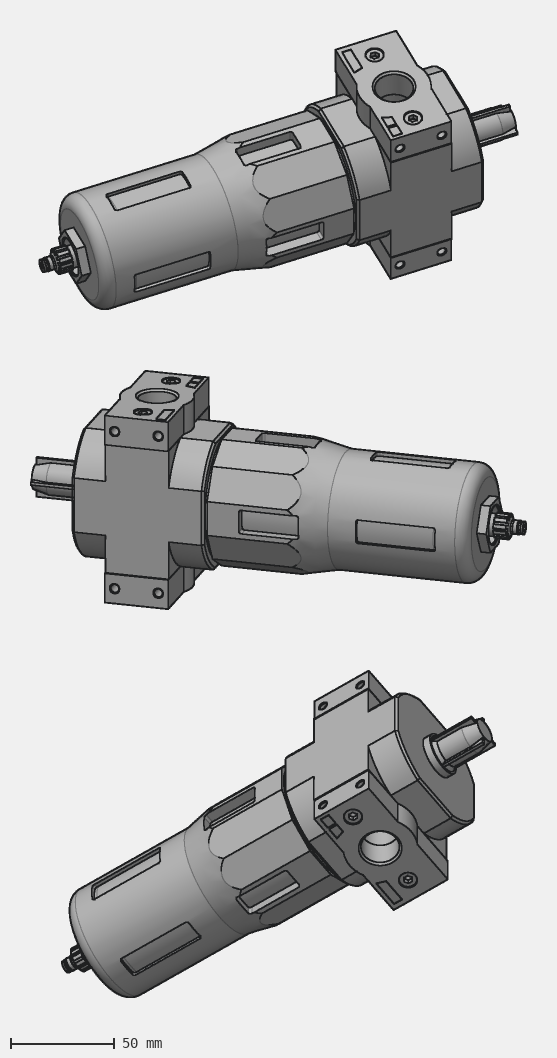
import cadquery as cq
import math


housing_width = 66.0
housing_corner_radius = 35.8
housing_top = 33.0
housing_bottom = -33.7
housing_edge_chamfer = 1.2
port_block_length = 32.0
port_diameter = 18.63

plate_left = -34.1
plate_right = 32.5
plate_thickness = 15.0
plate_length = port_block_length
port_boss_diameter = 36.0
port_chamfer = 1.1
feature_center_x = -0.3
side_hole_diameter = 4.13
side_hole_mouth_diameter = 5.0
side_hole_depth = 9.0
side_hole_y = 11.0
side_hole_from_face = 7.7
drill_half_angle = math.radians(59)

label_depth = 0.3
label_width = 4.7
label_center_y = -11.4
label_slant = 1.6
left_label_start = -31.3
left_label_end = -16.3
right_label_start = 16.7
right_label_end = 30.4
label_divider_x = 23.9
label_divider_width = 1.0

screw_spacing = 46.2
screw_head_diameter = 8.5
screw_head_height = 5.0
screw_head_recess = 0.5
screw_socket_flats = 4.0
screw_socket_depth = 2.5
screw_shank_diameter = 5.0
screw_engagement = 8.0
counterbore_diameter = 9.0

neck_diameter = 62.0
grip_start = -35.2
grip_flats = 64.8
grip_sides = 12
taper_start = -75.7
taper_end = -95.0
barrel_diameter = 58.9
bowl_end = -165.6
bowl_end_fillet = 6.4

window_width = 12.0
window_corner_radius = 1.2
window_floor_radius = 27.5
window_floor_end = -147.7
window_floor_fillet = 8.0
grip_window_start = -51.2
grip_window_length = 30.0
barrel_window_start = -109.3
barrel_window_length = 40.0

hex_flats = 24.0
hex_height = 4.8
hex_recess_diameter = 18.63
hex_recess_chamfer = 0.6

drain_neck_diameter = 11.2
knurl_diameter = 12.8
knurl_start = -171.5
knurl_cone_start = -178.0
knurl_end = -179.4
knurl_flutes = 12
flute_width = 1.3
flute_depth = 1.4
drain_shoulder_diameter = 7.0
drain_shoulder_end = -180.4
drain_stem_diameter = 6.8
drain_lip_diameter = 7.0
drain_groove_diameter = 5.6
drain_tip_diameter = 6.4
lip_start = -182.6
groove_start = -183.1
groove_end = -184.2
drain_end = -185.4
drain_bore_diameter = 3.0
drain_bore_depth = 5.0

collar_diameter = 22.0
collar_top = 37.0
knob_root_diameter = 19.6
knob_body_diameter = 16.4
knob_root_end = 39.2
knob_taper_start = 53.7
knob_tip_diameter = 12.4
knob_top = 61.6
fin_span = 20.0
fin_thickness = 1.5
fin_top = 60.8
fin_count = 4

plate_face_z = housing_width / 2 + plate_thickness
screw_seat_z = plate_face_z - screw_head_recess - screw_head_height
screw_tip_z = housing_width / 2 - screw_engagement
screw_xs = [feature_center_x + side * screw_spacing / 2 for side in (-1, 1)]
grip_corner_diameter = grip_flats / math.cos(math.pi / grip_sides)


def plane_at_y(y):
    """Workplane normal to Y, with local x along X and local y along Z, extruding toward -Y."""
    return cq.Workplane(cq.Plane(origin=(0, y, 0), xDir=(1, 0, 0), normal=(0, -1, 0)))


def plane_at_z(z):
    return cq.Workplane("XY", origin=(0, 0, z))


def revolve_about_y(profile):
    return profile.close().revolve(360, (0, 0, 0), (0, 1, 0))


def stacked_profile(steps):
    """Half profile on the bowl axis from (radius, y) corner points."""
    axis_points = [(0, steps[0][1])] + steps + [(0, steps[-1][1])]
    return cq.Workplane("XY").polyline(axis_points)


def mirrored_pair(body):
    return [body, body.mirror("XY")]


def make_housing():
    length = housing_top - housing_bottom
    barrel = plane_at_y(housing_top).rect(housing_width, housing_width).extrude(length)
    barrel = barrel.intersect(plane_at_y(housing_top).circle(housing_corner_radius).extrude(length))
    barrel = barrel.faces("<Y or >Y").chamfer(housing_edge_chamfer)
    block = cq.Workplane("XY").box(housing_width, port_block_length, housing_width)
    body = barrel.union(block)
    port = plane_at_z(-housing_width / 2).circle(port_diameter / 2).extrude(housing_width)
    body = body.cut(port)
    upper_holes = plane_at_z(screw_tip_z).pushPoints([(x, 0) for x in screw_xs])
    upper_holes = upper_holes.circle(screw_shank_diameter / 2).extrude(screw_engagement)
    for holes in mirrored_pair(upper_holes):
        body = body.cut(holes)
    return body


def side_hole(y):
    """Drilled hole along +X from the plate's left face, with a wider mouth and a conical end."""
    mouth = side_hole_mouth_diameter / 2
    radius = side_hole_diameter / 2
    tip_depth = side_hole_depth + radius / math.tan(drill_half_angle)
    profile = cq.Workplane("XY").polyline([
        (0, 0), (0, mouth), (mouth - radius, radius), (side_hole_depth, radius), (tip_depth, 0)])
    hole = profile.close().revolve(360, (0, 0, 0), (1, 0, 0))
    return hole.translate((plate_left, y, plate_face_z - side_hole_from_face))


def label_fields():
    low = label_center_y - label_width / 2
    high = label_center_y + label_width / 2
    base = plane_at_z(plate_face_z - label_depth)
    left = base.polyline([
        (left_label_start, low), (left_label_end, low),
        (left_label_end - label_slant, high), (left_label_start, high)]).close().extrude(label_depth)
    right = base.polyline([
        (right_label_start, low), (right_label_end, low),
        (right_label_end, high), (right_label_start + label_slant, high)]).close().extrude(label_depth)
    divider = base.center(label_divider_x, label_center_y)
    divider = divider.rect(label_divider_width, label_width).extrude(label_depth)
    return left.union(right.cut(divider))


def make_upper_plate():
    base_z = housing_width / 2
    plate_center_x = (plate_left + plate_right) / 2
    plate = plane_at_z(base_z).center(plate_center_x, 0)
    plate = plate.rect(plate_right - plate_left, plate_length).extrude(plate_thickness)
    boss = plane_at_z(base_z).center(feature_center_x, 0)
    boss = boss.circle(port_boss_diameter / 2).extrude(plate_thickness)
    plate = plate.union(boss)
    plate = plate.cut(plane_at_z(base_z).circle(port_diameter / 2).extrude(plate_thickness))
    mouth = cq.Solid.makeCone(port_diameter / 2, port_diameter / 2 + port_chamfer, port_chamfer,
                              pnt=cq.Vector(0, 0, plate_face_z - port_chamfer))
    plate = plate.cut(cq.Workplane(mouth))
    screw_points = [(x, 0) for x in screw_xs]
    shank_holes = plane_at_z(base_z).pushPoints(screw_points)
    plate = plate.cut(shank_holes.circle(screw_shank_diameter / 2).extrude(plate_thickness))
    counterbores = plane_at_z(screw_seat_z).pushPoints(screw_points)
    counterbores = counterbores.circle(counterbore_diameter / 2).extrude(plate_face_z - screw_seat_z)
    plate = plate.cut(counterbores)
    for y in (-side_hole_y, side_hole_y):
        left_hole = side_hole(y)
        right_hole = left_hole.mirror("YZ", (plate_center_x, 0, 0))
        plate = plate.cut(left_hole).cut(right_hole)
    return plate.cut(label_fields())


def make_upper_screw(x):
    shank = plane_at_z(screw_tip_z).center(x, 0)
    shank = shank.circle(screw_shank_diameter / 2).extrude(screw_seat_z - screw_tip_z)
    head = plane_at_z(screw_seat_z).center(x, 0)
    head = head.circle(screw_head_diameter / 2).extrude(screw_head_height)
    socket_z = screw_seat_z + screw_head_height - screw_socket_depth
    socket = plane_at_z(socket_z).center(x, 0)
    socket = socket.polygon(6, screw_socket_flats, circumscribed=True).extrude(screw_socket_depth)
    point_radius = screw_socket_flats / 2
    point_depth = point_radius / math.tan(drill_half_angle)
    drill_point = cq.Solid.makeCone(0, point_radius, point_depth,
                                    pnt=cq.Vector(x, 0, socket_z - point_depth))
    return shank.union(head).cut(socket).cut(cq.Workplane(drill_point))


def bowl_blank():
    grip_radius = grip_corner_diameter / 2
    barrel_radius = barrel_diameter / 2
    outline = stacked_profile([
        (grip_radius, grip_start), (grip_radius, taper_start),
        (barrel_radius, taper_end), (barrel_radius, bowl_end)])
    turned = revolve_about_y(outline).faces("<Y").edges().fillet(bowl_end_fillet)
    prism = plane_at_y(grip_start).transformed(rotate=(0, 0, 180 / grip_sides))
    prism = prism.polygon(grip_sides, grip_corner_diameter).extrude(grip_start - bowl_end)
    neck = plane_at_y(housing_bottom).circle(neck_diameter / 2).extrude(housing_bottom - grip_start)
    return turned.intersect(prism).union(neck)


def window_core():
    """Round core left standing behind the windows."""
    end_y = window_floor_end - window_floor_fillet
    core = plane_at_y(grip_start).circle(window_floor_radius).extrude(grip_start - end_y)
    return core.faces("<Y").edges().fillet(window_floor_fillet)


def window_cutters():
    core = window_core()
    cutters = []
    for start, length in ((grip_window_start, grip_window_length),
                          (barrel_window_start, barrel_window_length)):
        block = cq.Workplane("XY").center(0, start - length / 2).rect(window_width, length)
        block = block.extrude(grip_flats).edges("|Z").fillet(window_corner_radius).cut(core)
        cutters += [block.rotate((0, 0, 0), (0, 1, 0), 90 * turn) for turn in range(4)]
    return cutters


def make_bowl():
    bowl = bowl_blank()
    for cutter in window_cutters():
        bowl = bowl.cut(cutter)
    hexagon = plane_at_y(bowl_end).transformed(rotate=(0, 0, 30))
    hexagon = hexagon.polygon(6, hex_flats, circumscribed=True).extrude(hex_height)
    recess = plane_at_y(bowl_end).circle(hex_recess_diameter / 2).extrude(hex_height)
    hexagon = hexagon.cut(recess).faces("<Y").edges("%CIRCLE").chamfer(hex_recess_chamfer)
    return bowl.union(hexagon)


def make_drain():
    neck = drain_neck_diameter / 2
    knurl = knurl_diameter / 2
    shoulder = drain_shoulder_diameter / 2
    stem = drain_stem_diameter / 2
    lip = drain_lip_diameter / 2
    groove = drain_groove_diameter / 2
    tip = drain_tip_diameter / 2
    drain = revolve_about_y(stacked_profile([
        (neck, bowl_end), (neck, knurl_start),
        (knurl, knurl_start), (knurl, knurl_cone_start),
        (shoulder, knurl_end), (shoulder, drain_shoulder_end), (stem, drain_shoulder_end),
        (stem, lip_start), (lip, lip_start), (lip, groove_start), (groove, groove_start),
        (groove, groove_end), (tip, groove_end), (tip, drain_end)]))
    flute = plane_at_y(knurl_start).center(knurl, 0)
    flute = flute.rect(2 * flute_depth, flute_width).extrude(knurl_start - knurl_end)
    for index in range(knurl_flutes):
        drain = drain.cut(flute.rotate((0, 0, 0), (0, 1, 0), index * 360 / knurl_flutes))
    bore = plane_at_y(drain_end + drain_bore_depth).circle(drain_bore_diameter / 2)
    return drain.cut(bore.extrude(drain_bore_depth))


def make_knob():
    body_radius = knob_body_diameter / 2
    tip_radius = knob_tip_diameter / 2
    outline = cq.Workplane("XY").polyline([
        (0, housing_top), (collar_diameter / 2, housing_top), (collar_diameter / 2, collar_top),
        (knob_root_diameter / 2, collar_top), (body_radius, knob_root_end),
        (body_radius, knob_taper_start), (tip_radius, knob_top), (0, knob_top)])
    knob = revolve_about_y(outline)
    fin = cq.Workplane("XY").polyline([
        (0, collar_top), (fin_span / 2, collar_top), (fin_span / 2, fin_top), (0, fin_top)])
    fin = fin.close().extrude(fin_thickness / 2, both=True)
    for index in range(fin_count):
        knob = knob.union(fin.rotate((0, 0, 0), (0, 1, 0), index * 360 / fin_count))
    return knob


housing = make_housing()
plates = mirrored_pair(make_upper_plate())
screws = [screw for x in screw_xs for screw in mirrored_pair(make_upper_screw(x))]
bowl = make_bowl()
drain = make_drain()
knob = make_knob()

bodies = [housing, *plates, *screws, bowl, drain, knob]
result = cq.Compound.makeCompound([body.solids().val() for body in bodies])